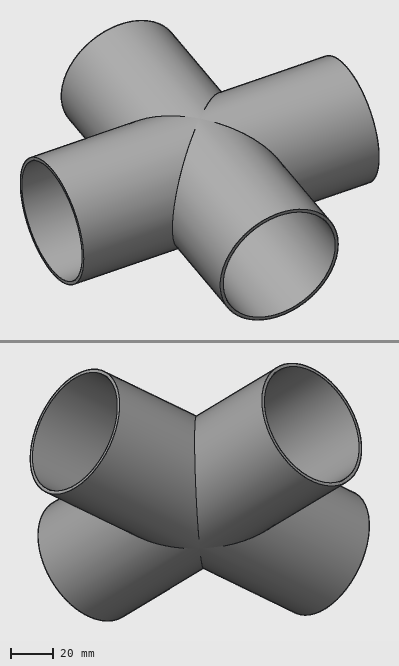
import cadquery as cq

tube_length = 158.8
outer_diameter = 63.5
inner_diameter = 60.2


def crossed_cylinders(diameter):
    """Two full-length cylinders, one along X and one along Y, joined at their middles."""
    along_x = cq.Workplane("YZ").circle(diameter / 2).extrude(tube_length / 2, both=True)
    along_y = cq.Workplane("XZ").circle(diameter / 2).extrude(tube_length / 2, both=True)
    return along_x.union(along_y)


outer_cross = crossed_cylinders(outer_diameter)
bores = crossed_cylinders(inner_diameter)
result = outer_cross.cut(bores)